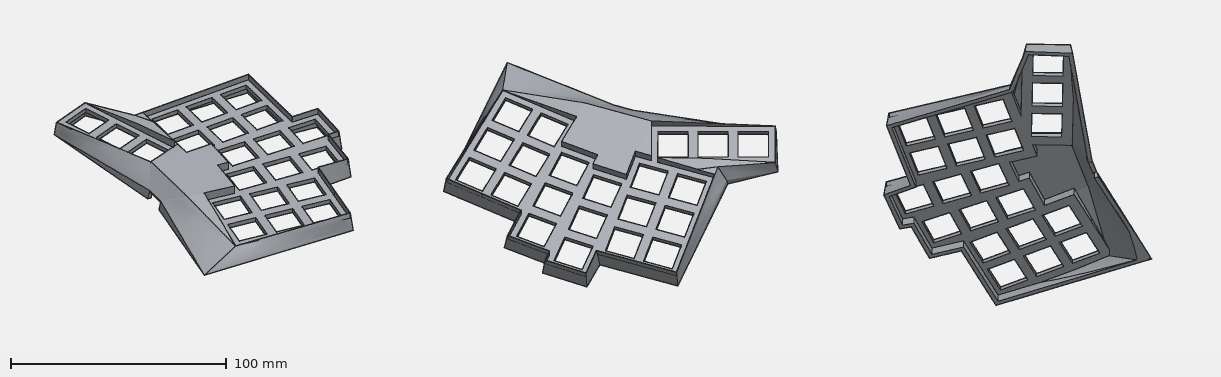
import cadquery as cq
import math

KEY_PITCH = 18.5
HOLE_SIZE = 14.0
CELL_SIZE = 20.0
KEYS_PER_ROW = 3

PLATE_TOP = 6.8
PLATE_THICKNESS = 2.3
PLATE_BOTTOM = PLATE_TOP - PLATE_THICKNESS
RIM_TOP = 9.8
BLOCK_FRONT_TOP = 11.4
BLOCK_BACK_TOP = 10.8
LINTEL_TOP = PLATE_BOTTOM
LINTEL_BOTTOM = 3.9
LEFT_SKIRT_TOP = 2.7

WALL = 2.0
ROOF = 2.3
RIM_LAND = 0.22
CLEARANCE = 28.8

COLUMN_DOWN = -90
LEFT_COLUMN_X = 35.5
LEFT_COLUMN_Y = 84.3
KEY_ROWS = [
    (LEFT_COLUMN_X, LEFT_COLUMN_Y, COLUMN_DOWN),
    (LEFT_COLUMN_X + KEY_PITCH, LEFT_COLUMN_Y, COLUMN_DOWN),
    (74.7, 97.3, COLUMN_DOWN - 3),
    (95.0, 90.2, COLUMN_DOWN - 6),
    (113.1, 72.4, COLUMN_DOWN - 9),
    (131.2, 69.5, COLUMN_DOWN - 9),
    (14.2, 14.0, 18),
]
OUTER_LEFT, INNER_LEFT, MIDDLE, RING, INNER_RIGHT, OUTER_RIGHT, THUMB = KEY_ROWS

STEPS = [(INNER_LEFT, MIDDLE), (RING, MIDDLE), (INNER_RIGHT, RING)]


def row_point(row, along, across):
    """Point at a distance along a key row from its first key, and across it to the left."""
    x, y, angle = row
    direction = math.radians(angle)
    return (
        x + along * math.cos(direction) - across * math.sin(direction),
        y + along * math.sin(direction) + across * math.cos(direction),
    )


def notch(low, high, half):
    """Where the end line of a low column meets the side of the higher column beside it.

    Returns the low column's corner on that side and the meeting point.
    """
    side = half if low[0] > high[0] else -half
    corner = row_point(low, -half, -side)
    facing = math.radians(high[2])
    across = (corner[1] - high[1]) * math.cos(facing) - (corner[0] - high[0]) * math.sin(facing)
    step = (side - across) / math.cos(facing - math.radians(low[2]))
    return corner, row_point(low, -half, step - side)


def plate_area(margin, bottom, top):
    """Space over all the key cells and the wedges between columns, grown sideways by a margin."""
    half = CELL_SIZE / 2 + margin
    last = (KEYS_PER_ROW - 1) * KEY_PITCH
    outlines = []
    for row in KEY_ROWS:
        start, end = -half, last + half
        ends = [(start, -half), (end, -half), (end, half), (start, half)]
        outlines.append([row_point(row, along, across) for along, across in ends])
    for low, high in STEPS:
        corner, meeting = notch(low, high, half)
        outlines.append([corner, meeting, row_point(high, last, 0), row_point(low, last, 0)])

    area = cq.Workplane("XY")
    floor = cq.Workplane("XY", origin=(0, 0, bottom))
    for outline in outlines:
        area = area.add(floor.polyline(outline).close().extrude(top - bottom))
    return area.combine()


def flat(*corners):
    """Flat polygon through the corners."""
    return cq.Face.makeFromWires(cq.Wire.makePolygon(corners, close=True))


def twisted(a, b, c, d):
    """Four-sided face with straight edges whose corners need not lie in one plane."""
    return cq.Face.makeRuledSurface(cq.Edge.makeLine(a, b), cq.Edge.makeLine(d, c))


def at_height(point, height):
    """Lift a plan point to a height."""
    return cq.Vector(*point, height)


FOOTPRINT = [
    (24.5, 95.4),
    (62.5, 95.4),
    (64.3, 108.9),
    (86.3, 107.9),
    (86.8, 102.5),
    (107.5, 100.0),
    (107.5, 84.6),
    (143.9, 79.0),
    (138.0, 1.7),
    (83.0, 10.6),
    (73.2, 10.6),
    (7.5, 0.0),
    (0.0, 20.7),
    (20.0, 34.4),
]

HALF_RIM = CELL_SIZE / 2 + RIM_LAND
ROW_END = (KEYS_PER_ROW - 1) * KEY_PITCH + HALF_RIM
RIM_BACK_LEFT = row_point(OUTER_LEFT, -HALF_RIM, -HALF_RIM)
RIM_FRONT_LEFT = (RIM_BACK_LEFT[0], 32.8)
RIM_BACK = [
    RIM_BACK_LEFT,
    notch(INNER_LEFT, MIDDLE, HALF_RIM)[1],
    row_point(MIDDLE, -HALF_RIM, -HALF_RIM),
    row_point(MIDDLE, -HALF_RIM, HALF_RIM),
    notch(RING, MIDDLE, HALF_RIM)[1],
    row_point(RING, -HALF_RIM, HALF_RIM),
    notch(INNER_RIGHT, RING, HALF_RIM)[1],
    row_point(OUTER_RIGHT, -HALF_RIM, HALF_RIM),
]
RIM_FRONT_RIGHT = row_point(OUTER_RIGHT, ROW_END, HALF_RIM)
THUMB_BACK = row_point(THUMB, -HALF_RIM, HALF_RIM)
THUMB_FRONT = row_point(THUMB, -HALF_RIM, -HALF_RIM)

BLOCK_LEFT = 62.2
BLOCK_FRONT = 19.1
BLOCK_BACK = 51.8
BLOCK_FRONT_RIGHT = 94.7
BLOCK_BACK_RIGHT = 99.8
LINTEL_SETBACK = 1.0
SKIRT_SETBACK = 0.5


def outer_body():
    """Faceted outer surface, closed at the bottom, before the key fields are sunk into it."""
    base = [at_height(p, 0) for p in FOOTPRINT]
    base_back_left = base[0]
    base_back_right, base_right, base_gap_right, base_gap_left = base[7:11]
    base_thumb_front, base_thumb_back, base_left = base[11:]
    rim = [at_height(p, RIM_TOP) for p in RIM_BACK]
    rim_back_left, rim_back_right = rim[0], rim[-1]
    rim_left = at_height(RIM_FRONT_LEFT, RIM_TOP)
    rim_right = at_height(RIM_FRONT_RIGHT, PLATE_TOP)
    thumb_back = at_height(THUMB_BACK, PLATE_TOP)
    thumb_front = at_height(THUMB_FRONT, PLATE_TOP)
    skirt_left = base_left + cq.Vector(SKIRT_SETBACK, 0, LEFT_SKIRT_TOP)
    lintel_left = base_gap_left + cq.Vector(0, LINTEL_SETBACK, LINTEL_TOP)
    lintel_right = base_gap_right + cq.Vector(0, LINTEL_SETBACK, LINTEL_TOP)
    block_a = cq.Vector(BLOCK_LEFT, BLOCK_FRONT, BLOCK_FRONT_TOP)
    block_b = cq.Vector(BLOCK_FRONT_RIGHT, BLOCK_FRONT, BLOCK_FRONT_TOP)
    block_c = cq.Vector(BLOCK_BACK_RIGHT, BLOCK_BACK, BLOCK_BACK_TOP)
    block_d = cq.Vector(BLOCK_LEFT, BLOCK_BACK, BLOCK_BACK_TOP)
    foot_c = cq.Vector(BLOCK_BACK_RIGHT, BLOCK_BACK, RIM_TOP)
    foot_d = cq.Vector(BLOCK_LEFT, BLOCK_BACK, RIM_TOP)

    faces = [
        flat(*base),
        flat(*rim, foot_c, foot_d, rim_left),
        flat(block_a, block_b, block_c, block_d),
        flat(block_d, block_c, foot_c, foot_d),
        flat(rim_left, block_a, block_d),
        flat(rim_left, block_d, foot_d),
        flat(block_b, rim_right, block_c),
        flat(rim_right, rim_back_right, block_c),
        flat(rim_back_right, foot_c, block_c),
        flat(rim_left, thumb_back, block_a),
        flat(thumb_back, thumb_front, block_a),
        twisted(thumb_back, rim_left, skirt_left, base_thumb_back),
        flat(skirt_left, base_left, base_thumb_back),
        twisted(thumb_back, thumb_front, base_thumb_front, base_thumb_back),
        twisted(block_a, thumb_front, base_thumb_front, lintel_left),
        flat(lintel_left, base_thumb_front, base_gap_left),
        flat(block_a, lintel_left, lintel_right, block_b),
        flat(lintel_left, base_gap_left, base_gap_right, lintel_right),
        flat(lintel_right, base_gap_right, base_right),
        twisted(block_b, lintel_right, base_right, rim_right),
        twisted(rim_right, base_right, base_back_right, rim_back_right),
        twisted(rim_left, rim_back_left, base_back_left, skirt_left),
        flat(base_back_left, base_left, skirt_left),
    ]
    for i in range(len(rim) - 1):
        faces.append(twisted(rim[i], rim[i + 1], base[i + 1], base[i]))
    return cq.Workplane(cq.Solid.makeSolid(cq.Shell.makeShell(faces)))


def cavity(body):
    """Hollow under the plate and block, open at the bottom."""
    inside = (
        cq.Workplane("XY").polyline(FOOTPRINT).close().offset2D(-WALL, "intersection").extrude(CLEARANCE)
    )
    lowered = body.translate((0, 0, -ROOF))
    return lowered.intersect(inside).cut(plate_area(WALL, PLATE_BOTTOM, CLEARANCE))


def switch_holes():
    """Square hole under every key."""
    holes = cq.Workplane("XY")
    for x, y, angle in KEY_ROWS:
        for i in range(KEYS_PER_ROW):
            centre = row_point((x, y, angle), i * KEY_PITCH, 0)
            hole = (
                cq.Workplane("XY", origin=(*centre, 0))
                .transformed(rotate=(0, 0, angle))
                .rect(HOLE_SIZE, HOLE_SIZE)
                .extrude(PLATE_TOP)
            )
            holes = holes.add(hole)
    return holes.combine()


def cable_gap():
    """Notch through the front wall between its two ends."""
    right, front = FOOTPRINT[9]
    left = FOOTPRINT[10][0]
    gap = cq.Workplane("XY").box(right - left, 2 * WALL, LINTEL_BOTTOM, centered=False)
    return gap.translate((left, front, 0))


body = outer_body()
result = (
    body.cut(cavity(body))
    .cut(plate_area(0, PLATE_TOP, CLEARANCE))
    .cut(switch_holes())
    .cut(cable_gap())
)